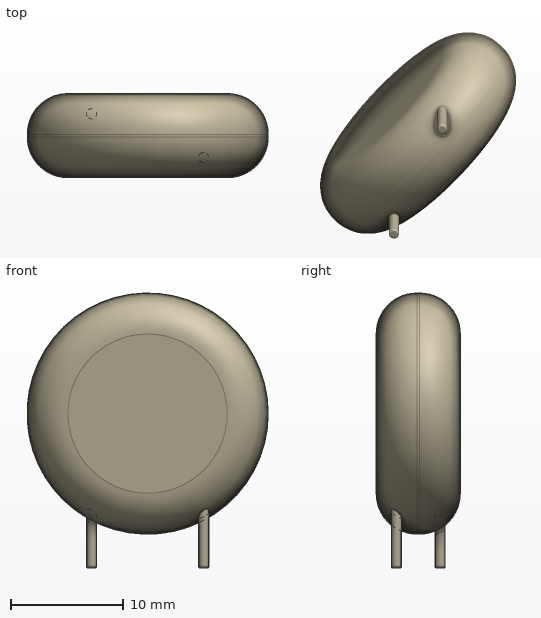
import cadquery as cq

body_diameter = 21.5
body_thickness = 7.5
rim_band_width = 0.2
edge_radius = (body_thickness - rim_band_width) / 2

lead_diameter = 0.9
lead_pitch_x = 10.0
lead_pitch_y = 3.9
lead_protrusion = 3.03
lead_tip_radius = lead_diameter / 5

body_center_z = body_diameter / 2


def make_body():
    """Round disc with both edges fully rounded, leaving a narrow flat rim band."""
    disc = (
        cq.Workplane("XZ", origin=(0, body_thickness / 2, body_center_z))
        .circle(body_diameter / 2)
        .extrude(body_thickness)
    )
    return disc.edges().fillet(edge_radius)


def make_lead(x, y):
    """Straight lead with a rounded tip, its upper end buried in the body."""
    return (
        cq.Workplane("XY", origin=(x, y, -lead_protrusion))
        .circle(lead_diameter / 2)
        .extrude(lead_protrusion + body_center_z)
        .faces("<Z")
        .edges()
        .fillet(lead_tip_radius)
    )


result = make_body()
for side in (-1, 1):
    result = result.union(make_lead(side * lead_pitch_x / 2, -side * lead_pitch_y / 2))